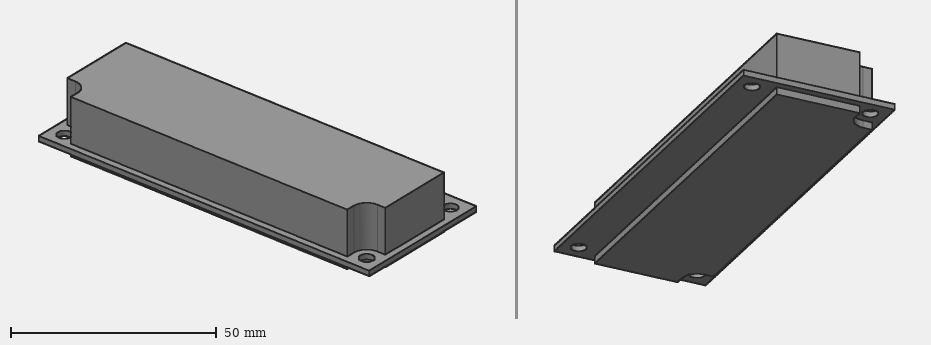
import cadquery as cq

PLATE_LENGTH = 104.0
PLATE_WIDTH = 41.0
PLATE_THICKNESS = 1.6

HOLE_DIAMETER = 4.0
HOLE_INSET = 4.5

TOTAL_HEIGHT = 16.6
BASE_HEIGHT = 2.0
HOUSING_LENGTH = 100.0
HOUSING_WIDTH = 29.0
FRONT_MARGIN = 2.0
RELIEF_RADIUS = 4.1

plate_top = BASE_HEIGHT + PLATE_THICKNESS
cover_height = TOTAL_HEIGHT - plate_top
hole_x = PLATE_LENGTH / 2 - HOLE_INSET
hole_y = PLATE_WIDTH / 2 - HOLE_INSET
housing_front = -PLATE_WIDTH / 2 + FRONT_MARGIN
housing_centre_y = housing_front + HOUSING_WIDTH / 2


def make_plate():
    """Flat plate with a screw hole through each corner."""
    return (
        cq.Workplane("XY", origin=(0, 0, BASE_HEIGHT))
        .rect(PLATE_LENGTH, PLATE_WIDTH)
        .extrude(PLATE_THICKNESS)
        .faces(">Z")
        .workplane(origin=(0, 0, plate_top))
        .rect(2 * hole_x, 2 * hole_y, forConstruction=True)
        .vertices()
        .hole(HOLE_DIAMETER)
    )


def make_corner_relief(side, bottom, height):
    """Cutter around a front screw hole; side is -1 for left and +1 for right."""
    inner_x = side * (hole_x - RELIEF_RADIUS)
    back_y = -hole_y + RELIEF_RADIUS
    outer_x = side * PLATE_LENGTH / 2
    front_y = -PLATE_WIDTH / 2
    return (
        cq.Workplane("XY", origin=(0, 0, bottom))
        .moveTo(inner_x, front_y)
        .lineTo(inner_x, -hole_y)
        .tangentArcPoint((side * hole_x, back_y), relative=False)
        .lineTo(outer_x, back_y)
        .lineTo(outer_x, front_y)
        .close()
        .extrude(height)
    )


def make_housing_half(bottom, height):
    """Block with both front corners relieved for the screws."""
    block = (
        cq.Workplane("XY", origin=(0, housing_centre_y, bottom))
        .rect(HOUSING_LENGTH, HOUSING_WIDTH)
        .extrude(height)
    )
    for side in (-1, 1):
        block = block.cut(make_corner_relief(side, bottom, height))
    return block


base = make_housing_half(0, BASE_HEIGHT)
plate = make_plate()
cover = make_housing_half(plate_top, cover_height)

result = cq.Compound.makeCompound([base.val(), plate.val(), cover.val()])